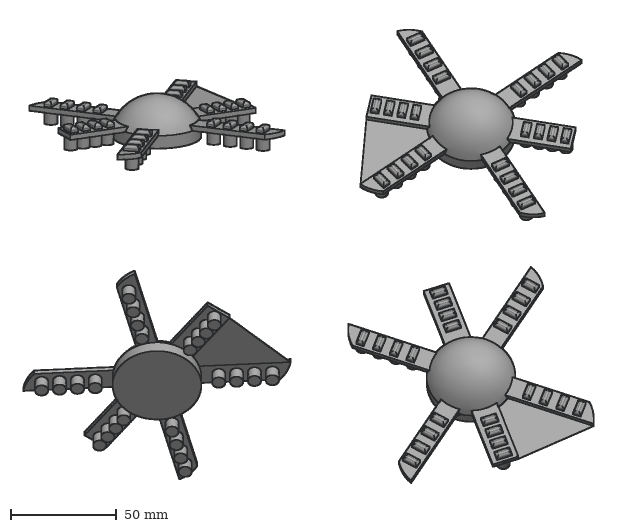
import cadquery as cq
import math

hub_diameter = 42.1
hub_height = 6.4
total_height = 20.3

arm_thickness = 2.6
straight_arm_width = 12.8
straight_arm_reach = 49.3
slanted_arm_width = 10.2
slanted_arm_angle = 39.6

total_width = 96.0
tip_radius = 19.7
tip_extreme_x = total_width / 2
tip_extreme_y = 35.5

station_count = 4
straight_first_station = 26.6
straight_station_pitch = 6.4
slanted_first_station = 29.3
slanted_station_pitch = 8.5
pin_diameter = 6.3
button_length = 7.5
button_width = 3.8
button_height = 2.6
button_edge_radius = 1.3

web_thickness = 0.2
web_inner_edge_y = 17.8
web_inner_edge_x = 13.8

arm_top = hub_height + arm_thickness
half_straight_width = straight_arm_width / 2
half_slanted_width = slanted_arm_width / 2
slant_cos = math.cos(math.radians(slanted_arm_angle))
slant_sin = math.sin(math.radians(slanted_arm_angle))


def make_hub():
    """Disc with a spherical cap on top."""
    radius = hub_diameter / 2
    disc = cq.Workplane("XY").circle(radius).extrude(hub_height)
    cap_rise = total_height - hub_height
    sphere_radius = (radius**2 + cap_rise**2) / (2 * cap_rise)
    sphere_center_z = total_height - sphere_radius
    dome = (
        cq.Workplane("XY", origin=(0, 0, sphere_center_z))
        .sphere(sphere_radius)
        .intersect(cq.Workplane("XY", origin=(0, 0, hub_height)).circle(radius).extrude(cap_rise))
    )
    return disc.union(dome)


def make_stations(first, pitch):
    """Pins and buttons spaced along +X."""
    spots = [(first + i * pitch, 0) for i in range(station_count)]
    pins = cq.Workplane("XY").pushPoints(spots).circle(pin_diameter / 2).extrude(arm_top)
    buttons = (
        cq.Workplane("XY", origin=(0, 0, arm_top))
        .pushPoints(spots)
        .rect(button_width, button_length)
        .extrude(button_height)
        .faces(">Z")
        .edges()
        .fillet(button_edge_radius)
    )
    return pins.union(buttons)


def make_straight_arm():
    """Square-ended arm along +X."""
    bar = (
        cq.Workplane("XY", origin=(0, 0, hub_height))
        .rect(straight_arm_reach, straight_arm_width)
        .extrude(arm_thickness)
        .translate((straight_arm_reach / 2, 0, 0))
    )
    return bar.union(make_stations(straight_first_station, straight_station_pitch))


def slanted_tip(offset):
    """Distance along a slanted arm to its rounded tip, at an offset across the arm."""
    center_x = tip_extreme_x - tip_radius
    along = center_x * slant_cos + tip_extreme_y * slant_sin
    across = tip_extreme_y * slant_cos - center_x * slant_sin
    return along + math.sqrt(tip_radius**2 - (offset - across) ** 2)


def make_slanted_arm():
    """Round-tipped arm, turned to its place in the +X +Y quarter."""
    bar = (
        cq.Workplane("XY", origin=(0, 0, hub_height))
        .moveTo(0, -half_slanted_width)
        .lineTo(slanted_tip(-half_slanted_width), -half_slanted_width)
        .threePointArc((slanted_tip(0), 0), (slanted_tip(half_slanted_width), half_slanted_width))
        .lineTo(0, half_slanted_width)
        .close()
        .extrude(arm_thickness)
    )
    stations = make_stations(slanted_first_station, slanted_station_pitch)
    return bar.union(stations).rotate((0, 0, 0), (0, 0, 1), slanted_arm_angle)


def make_web():
    """Thin sheet level with the arms' undersides; its inner edge runs under the dome."""
    tip = slanted_tip(half_slanted_width)
    slanted_corner = (
        -(tip * slant_cos - half_slanted_width * slant_sin),
        tip * slant_sin + half_slanted_width * slant_cos,
    )
    outline = [
        (0, 0),
        slanted_corner,
        (-half_straight_width, straight_arm_reach),
        (-half_straight_width, web_inner_edge_y),
        (web_inner_edge_x, web_inner_edge_y),
    ]
    return cq.Workplane("XY", origin=(0, 0, hub_height)).polyline(outline).close().extrude(web_thickness)


result = make_hub().union(make_web())

straight_arm = make_straight_arm()
for angle in (90, -90):
    result = result.union(straight_arm.rotate((0, 0, 0), (0, 0, 1), angle))

right_pair = make_slanted_arm()
right_pair = right_pair.union(right_pair.mirror("XZ"))
result = result.union(right_pair).union(right_pair.mirror("YZ"))